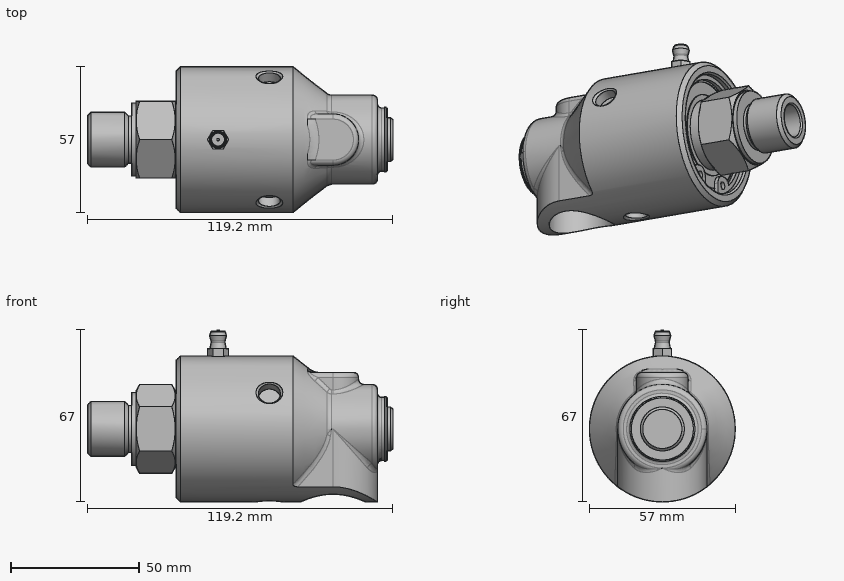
import cadquery as cq
import math

TOTAL_LENGTH = 119.2
FLANGE_START = 17.2
HEX_START = 18.8
HEX_END = 34.3
BODY_START = 34.5
CONE_START = 80.1
CONE_END = 94.1
PORT_X = 95.7
PILOT_END = 116.9

BODY_R = 28.5
REAR_R = 17.4
STUB_R = 10.7
FLANGE_R = 14.3
COLLAR_R = 27.8 / 2
PILOT_R = 25.4 / 2
TIP_R = 8.6
REAR_END = PORT_X + REAR_R

BODY_CHAMFER = 1.7
NECK_FILLET = 3.0
REAR_FILLET = 2.1

PILOT_FILLET = 1.5
PILOT_NECK_R = 12.4
PILOT_LIP_START = 115.8
PILOT_CHAMFER = 0.6
TIP_CHAMFER = 1.0

MOUTH_R = 47.1 / 2
MOUTH_CHAMFER = 0.7
RING_DEPTH = 2.4
RING_THICKNESS = 1.5
RING_FRONT = BODY_START + RING_DEPTH
BEARING_FACE = RING_FRONT + RING_THICKNESS
SHIELD_STEP = 0.4
SHIELD_R = 42.0 / 2
RACE_R = 32.0 / 2
RING_OUTER_R = 50.8 / 2
RING_INNER_R = 43.5 / 2
LUG_GAP = 9.8
LUG_WIDTH = 8.6
LUG_TOP = -14.9
LUG_CORNER = 3.6
LUG_HOLE_D = 3.0
LUG_HOLE_Y = 8.6
LUG_HOLE_Z = -18.6

STUB_CHAMFER = 1.3
NECK_R = 18.5 / 2
NECK_START = 16.0
BORE_D = 12.8
BORE_CHAMFER = 0.6
BORE_DEPTH = 35.7
HEX_FLATS = 30.0
HEX_CHAMFER_R = 14.8
HEX_CHAMFER_ANGLE = 30.0

BOSS_R = 10.0
BOSS_TOP = 22.0
BOSS_FILLET = 2.0
BOSS_RUNOUT = 5.7
RUNOUT_START = 85.7
RUNOUT_LENGTH = 7.1
RUNOUT_SLAB_HALF = 15.0
PORT_D = 25.4
PORT_FLOOR = -13.1
FOOT_FILLET = 2.4

RADIAL_X = 70.9
RADIAL_ANGLES = (60, 180, 300)
RADIAL_D = 8.6
RADIAL_CHAMFER = 0.6
RADIAL_FLOOR_R = 23.6

NIPPLE_X = 50.9
NIPPLE_FLATS = 7.1
NIPPLE_SINK = 1.2
NIPPLE_ROOT = BODY_R - NIPPLE_SINK
NIPPLE_HEX_TOP = 31.3
NIPPLE_FOOT_R = 3.2
NIPPLE_NECK_R = 2.7
NIPPLE_NECK_LOW = 33.7
NIPPLE_NECK_HIGH = 34.2
NIPPLE_HEAD_R = 3.3
NIPPLE_HEAD_Z = 36.3
NIPPLE_SHOULDER_R = 2.9
NIPPLE_SHOULDER_Z = 37.8
NIPPLE_TOP_R = 2.5
NIPPLE_TOP = 38.3
NIPPLE_TIP_R = 0.5
NIPPLE_TIP = 38.5

EDGE_MARGIN = 0.1


def turned(points):
    """Revolve an (x, r) outline about the X axis."""
    return cq.Workplane("XY").polyline(points).close().revolve(360, (0, 0, 0), (1, 0, 0))


def disc(x_start, x_end, radius):
    """Cylinder on the X axis."""
    return cq.Workplane("YZ", origin=(x_start, 0, 0)).circle(radius).extrude(x_end - x_start)


def d_prism(radius, z_start, z_end):
    """Upright prism: half disc about the port axis with straight sides running towards -X."""
    straight = PORT_X - CONE_START
    outline = (
        cq.Workplane("XY", origin=(PORT_X, 0, z_start))
        .moveTo(-straight, -radius)
        .lineTo(0, -radius)
        .threePointArc((radius, 0), (0, radius))
        .lineTo(-straight, radius)
        .close()
    )
    return outline.extrude(z_end - z_start)


def housing_shell():
    """Body, cone and rear cylinder with the rounded neck between the last two."""
    slope = math.atan2(BODY_R - REAR_R, CONE_END - CONE_START)
    tangent = NECK_FILLET * math.tan(slope / 2)
    outline = (
        cq.Workplane("XY")
        .moveTo(BODY_START, 0)
        .lineTo(BODY_START, BODY_R - BODY_CHAMFER)
        .lineTo(BODY_START + BODY_CHAMFER, BODY_R)
        .lineTo(CONE_START, BODY_R)
        .lineTo(CONE_END - tangent * math.cos(slope), REAR_R + tangent * math.sin(slope))
        .tangentArcPoint((CONE_END + tangent, REAR_R), relative=False)
        .lineTo(REAR_END - REAR_FILLET, REAR_R)
        .tangentArcPoint((REAR_END, REAR_R - REAR_FILLET), relative=False)
        .lineTo(REAR_END, 0)
        .close()
    )
    return outline.revolve(360, (0, 0, 0), (1, 0, 0))


def box_edges(solid, corner_low, corner_high):
    """Edges that lie completely inside a box."""
    return solid.edges(cq.selectors.BoxSelector(corner_low, corner_high, boundingbox=True))


def is_upright(edge):
    return edge.geomType() == "LINE" and edge.BoundingBox().zlen > EDGE_MARGIN


def top_edges(solid, half_width):
    """Edges at the height of the boss top."""
    low = (CONE_START, -half_width - EDGE_MARGIN, BOSS_TOP - EDGE_MARGIN)
    high = (REAR_END, half_width + EDGE_MARGIN, BOSS_TOP + EDGE_MARGIN)
    return box_edges(solid, low, high)


def boss_runout():
    """Wide concave blend that leads the flat boss top into the cone."""
    flat_half = BOSS_R - BOSS_FILLET
    length = CONE_END - CONE_START
    cone = turned([(CONE_START, 0), (CONE_START, BODY_R), (CONE_END, REAR_R), (CONE_END, 0)])
    slab = cq.Workplane("XY").box(length, 2 * RUNOUT_SLAB_HALF, BOSS_TOP, centered=(False, True, False))
    solid = cone.union(slab.translate((CONE_START, 0, 0)))
    seam = top_edges(solid, RUNOUT_SLAB_HALF).filter(lambda e: e.geomType() == "HYPERBOLA")
    strip = cq.Workplane("XY").box(RUNOUT_LENGTH, 2 * flat_half, BODY_R, centered=(False, True, False))
    strip = strip.translate((RUNOUT_START, 0, REAR_R))
    return seam.fillet(BOSS_RUNOUT).intersect(strip)


def add_boss(shell):
    """Top boss with a rounded rim, a fillet around its base and the run-out on the cone."""
    solid = shell.union(d_prism(BOSS_R, 0, BOSS_TOP))
    rim = top_edges(solid, BOSS_R).filter(lambda e: e.BoundingBox().xmax > CONE_END)
    solid = rim.fillet(BOSS_FILLET)
    half = BOSS_R + EDGE_MARGIN
    around = box_edges(solid, (CONE_START, -half, 0), (REAR_END, half, BODY_R))
    base = around.filter(lambda e: e.BoundingBox().zmin < REAR_R and not is_upright(e))
    return base.fillet(BOSS_FILLET).union(boss_runout())


def add_foot(shell):
    """Rounded foot below the axis that carries the port, trimmed to the body diameter."""
    foot = d_prism(REAR_R, -BODY_R, 0).intersect(disc(CONE_START, REAR_END, BODY_R))
    solid = shell.union(foot)
    half = REAR_R + EDGE_MARGIN
    near = box_edges(solid, (CONE_START - EDGE_MARGIN, -half, -BODY_R), (REAR_END, half, EDGE_MARGIN))
    seams = near.filter(lambda e: e.geomType() in ("HYPERBOLA", "ELLIPSE"))
    return seams.fillet(FOOT_FILLET)


def port():
    """Blind connection bore from below."""
    return cq.Workplane("XY", origin=(PORT_X, 0, -BODY_R)).circle(PORT_D / 2).extrude(PORT_FLOOR + BODY_R)


def radial_holes():
    """Three chamfered flat-bottomed holes around the body."""
    radius = RADIAL_D / 2
    rim_r = math.sqrt(BODY_R**2 - radius**2)
    profile = [
        (0, RADIAL_FLOOR_R),
        (radius, RADIAL_FLOOR_R),
        (radius, rim_r - RADIAL_CHAMFER),
        (radius + 2 * RADIAL_CHAMFER, rim_r + RADIAL_CHAMFER),
        (radius + 2 * RADIAL_CHAMFER, BODY_R + RADIAL_CHAMFER),
        (0, BODY_R + RADIAL_CHAMFER),
    ]
    hole = cq.Workplane("XZ").polyline(profile).close().revolve(360, (0, 0, 0), (0, 1, 0))
    hole = hole.translate((RADIAL_X, 0, 0))
    holes = cq.Workplane("XY")
    for angle in RADIAL_ANGLES:
        holes = holes.add(hole.rotate((0, 0, 0), (1, 0, 0), angle))
    return holes.combine()


def front_recess():
    """Chamfered mouth, snap ring groove and the stepped bearing shield."""
    mouth = turned([
        (BODY_START, 0),
        (BODY_START, MOUTH_R + MOUTH_CHAMFER),
        (BODY_START + MOUTH_CHAMFER, MOUTH_R),
        (BEARING_FACE, MOUTH_R),
        (BEARING_FACE, SHIELD_R),
        (BEARING_FACE + SHIELD_STEP, SHIELD_R),
        (BEARING_FACE + SHIELD_STEP, RACE_R),
        (BEARING_FACE, RACE_R),
        (BEARING_FACE, 0),
    ])
    return mouth.union(disc(RING_FRONT, BEARING_FACE, RING_OUTER_R))


def snap_ring():
    """Open retaining ring with two pierced lugs at the bottom."""
    ring = disc(RING_FRONT, BEARING_FACE, RING_OUTER_R).cut(disc(RING_FRONT, BEARING_FACE, RING_INNER_R))
    lug_height = LUG_TOP + MOUTH_R
    gap = cq.Workplane("XY").box(RING_THICKNESS, LUG_GAP, RING_OUTER_R, centered=(False, True, False))
    ring = ring.cut(gap.translate((RING_FRONT, 0, -RING_OUTER_R)))
    rim = disc(RING_FRONT, BEARING_FACE, RING_OUTER_R)
    lug_block = cq.Workplane("XY").box(RING_THICKNESS, LUG_WIDTH, lug_height)
    lug_block = lug_block.edges("|X and >Z").fillet(LUG_CORNER)
    for side in (-1, 1):
        lug_y = side * (LUG_GAP + LUG_WIDTH) / 2
        lug = lug_block.translate((RING_FRONT + RING_THICKNESS / 2, lug_y, LUG_TOP - lug_height / 2))
        ring = ring.union(lug.intersect(rim))
        hole = disc(RING_FRONT, BEARING_FACE, LUG_HOLE_D / 2)
        ring = ring.cut(hole.translate((0, side * LUG_HOLE_Y, LUG_HOLE_Z)))
    return ring


def hexagon():
    """Wrench hexagon with corners on the Z axis and chamfered ends."""
    corner_r = HEX_FLATS / math.sqrt(3)
    length = HEX_END - HEX_START
    prism = cq.Workplane("YZ", origin=(HEX_START, 0, 0)).polygon(6, 2 * corner_r).extrude(length)
    prism = prism.rotate((0, 0, 0), (1, 0, 0), 30)
    depth = (corner_r - HEX_CHAMFER_R) * math.tan(math.radians(HEX_CHAMFER_ANGLE))
    envelope = turned([
        (HEX_START, 0),
        (HEX_START, HEX_CHAMFER_R),
        (HEX_START + depth, corner_r),
        (HEX_END - depth, corner_r),
        (HEX_END, HEX_CHAMFER_R),
        (HEX_END, 0),
    ])
    return prism.intersect(envelope)


def shaft():
    """Connection stub, flange, hexagon and the collar entering the bearing."""
    neck_step = STUB_R - NECK_R
    stub = turned([
        (0, 0),
        (0, STUB_R - STUB_CHAMFER),
        (STUB_CHAMFER, STUB_R),
        (NECK_START - neck_step, STUB_R),
        (NECK_START, NECK_R),
        (FLANGE_START, NECK_R),
        (FLANGE_START, FLANGE_R),
        (HEX_START, FLANGE_R),
        (HEX_START, COLLAR_R),
        (BEARING_FACE + SHIELD_STEP, COLLAR_R),
        (BEARING_FACE + SHIELD_STEP, 0),
    ])
    return stub.union(hexagon())


def bore():
    """Blind bore with a chamfered mouth."""
    radius = BORE_D / 2
    return turned([
        (0, 0),
        (0, radius + BORE_CHAMFER),
        (BORE_CHAMFER, radius),
        (BORE_DEPTH, radius),
        (BORE_DEPTH, 0),
    ])


def rear_pilot():
    """Lipped pilot with a fillet at its root, followed by the smaller end tip."""
    root_end = REAR_END + PILOT_FILLET
    outline = (
        cq.Workplane("XY")
        .moveTo(REAR_END, 0)
        .lineTo(REAR_END, PILOT_NECK_R + PILOT_FILLET)
        .radiusArc((root_end, PILOT_NECK_R), -PILOT_FILLET)
        .lineTo(PILOT_LIP_START, PILOT_NECK_R)
        .lineTo(PILOT_LIP_START, PILOT_R)
        .lineTo(PILOT_END - PILOT_CHAMFER, PILOT_R)
        .lineTo(PILOT_END, PILOT_R - PILOT_CHAMFER)
        .lineTo(PILOT_END, TIP_R)
        .lineTo(TOTAL_LENGTH - TIP_CHAMFER, TIP_R)
        .lineTo(TOTAL_LENGTH, TIP_R - TIP_CHAMFER)
        .lineTo(TOTAL_LENGTH, 0)
        .close()
    )
    return outline.revolve(360, (0, 0, 0), (1, 0, 0))


def grease_nipple():
    """Hexagon base, tapered neck and bulged head with a small tip."""
    corner_d = 2 * NIPPLE_FLATS / math.sqrt(3)
    hex_base = cq.Workplane("XY", origin=(0, 0, NIPPLE_ROOT)).polygon(6, corner_d)
    hex_base = hex_base.extrude(NIPPLE_HEX_TOP - NIPPLE_ROOT)
    stem = (
        cq.Workplane("XZ")
        .moveTo(0, NIPPLE_ROOT)
        .lineTo(NIPPLE_FOOT_R, NIPPLE_ROOT)
        .lineTo(NIPPLE_FOOT_R, NIPPLE_HEX_TOP)
        .lineTo(NIPPLE_NECK_R, NIPPLE_NECK_LOW)
        .lineTo(NIPPLE_NECK_R, NIPPLE_NECK_HIGH)
        .lineTo(NIPPLE_HEAD_R, NIPPLE_HEAD_Z)
        .lineTo(NIPPLE_SHOULDER_R, NIPPLE_SHOULDER_Z)
        .lineTo(NIPPLE_TOP_R, NIPPLE_TOP)
        .lineTo(NIPPLE_TIP_R, NIPPLE_TOP)
        .lineTo(NIPPLE_TIP_R, NIPPLE_TIP)
        .lineTo(0, NIPPLE_TIP)
        .close()
        .revolve(360, (0, 0, 0), (0, 1, 0))
    )
    return hex_base.union(stem).translate((NIPPLE_X, 0, 0))


housing = add_boss(add_foot(housing_shell()))
housing = housing.cut(port()).cut(radial_holes()).cut(front_recess())
result = housing.union(snap_ring()).union(shaft()).cut(bore())
result = result.union(rear_pilot()).union(grease_nipple())